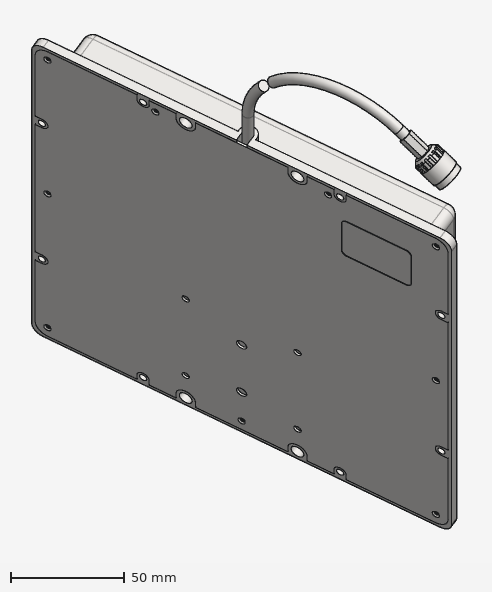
import cadquery as cq
import math


FLANGE_SIDE = 216.0
FLANGE_THICKNESS = 4.5
CORNER_RADIUS = 6.0
BOX_SIDE = 190.5
BOX_BACK = 28.2
BOX_ROUND = 5.0

RIM_WIDTH = 1.85
PLATE_SIDE = FLANGE_SIDE - 2 * RIM_WIDTH
PLATE_THICKNESS = 1.0
PLATE_CORNER_RADIUS = 6.5

LUG_FROM_CENTRE = 102.7
SCREW_LUG_WIDTH = 6.3
SCREW_LUG_SPREAD = 50.5
SCREW_HOLE_DIAMETER = 3.7
SCREW_HOLE_DEPTH = 2.8
MOUNT_LUG_WIDTH = 10.0
MOUNT_SPREAD = 28.7
MOUNT_HOLE_DIAMETER = 6.5

RIVET_FROM_CENTRE = 99.8
RIVET_UPPER_SPREAD = 44.5
RIVET_DIAMETER = 2.3
RIVET_SINK_DIAMETER = 3.7
RIVET_SINK_ANGLE = 90
SMALL_HOLE_DIAMETER = 3.7
SMALL_HOLE_HEIGHTS = (-28.7, -86.0)
LARGE_HOLE_DIAMETER = 5.0
LARGE_HOLE_HEIGHTS = (-43.0, -78.2)

LABEL_WIDTH = 35.8
LABEL_HEIGHT = 25.5
LABEL_THICKNESS = 0.3
LABEL_CORNER_RADIUS = 2.8
LABEL_X = 69.5
LABEL_Z = 74.0

CABLE_RADIUS = 2.7
CABLE_FRONT_DEPTH = 2.8
CABLE_Y = CABLE_FRONT_DEPTH + CABLE_RADIUS
BOSS_RADIUS = 4.5
LOWER_BEND_RADIUS = 45.8
LOWER_BEND_CENTRE = (LOWER_BEND_RADIUS, 123.5)
LOWER_END_ANGLE = 145.5
UPPER_BEND_RADIUS = 47.8
UPPER_BEND_CENTRE = (50.3, 126.0)
UPPER_START_ANGLE = 142.0
UPPER_END_ANGLE = 55.2

SLEEVE_LENGTH = 4.0
FERRULE_LENGTH = 11.5
COLLAR_LENGTH = 5.7
NUT_LENGTH = 7.7
NOSE_LENGTH = 3.0
FERRULE_SIDES = 6
FERRULE_ACROSS_CORNERS = 7.0
COLLAR_RADIUS = 7.0
COLLAR_CHAMFER = 2.0
KNURL_COUNT = 16
KNURL_WIDTH = 1.0
KNURL_DEPTH = 0.9
NUT_DIAMETER = 14.5
NOSE_RADIUS = 6.8

SIGNS = (-1, 1)
HALF_FLANGE = FLANGE_SIDE / 2
HALF_BOX = BOX_SIDE / 2
SIDE_ANGLES = (0, 90, 180, 270)


def square_slab(side, y_start, thickness, corner_radius):
    """Square slab with rounded corners from y_start towards +Y."""
    slab = cq.Workplane("XZ", origin=(0, y_start, 0)).rect(side, side).extrude(-thickness)
    return slab.edges("|Y").fillet(corner_radius)


def cylinders(points, diameter, depth):
    """Cylinders from the front face towards +Y at the (x, z) points."""
    return cq.Workplane("XZ").pushPoints(points).circle(diameter / 2).extrude(-depth)


def turned_about_centre(point, angle):
    """The (x, z) point turned about the panel centre."""
    x, z = point
    c = math.cos(math.radians(angle))
    s = math.sin(math.radians(angle))
    return (x * c - z * s, x * s + z * c)


SCREW_LUGS = [
    turned_about_centre((sign * SCREW_LUG_SPREAD, LUG_FROM_CENTRE), angle)
    for angle in SIDE_ANGLES
    for sign in SIGNS
]
MOUNT_LUGS = [(sx * MOUNT_SPREAD, sz * LUG_FROM_CENTRE) for sx in SIGNS for sz in SIGNS]


def lug(width, spread, angle):
    """U-shaped lug as thick as the plate, reaching in from the flange edge."""
    half_width = width / 2
    root = HALF_FLANGE - RIM_WIDTH / 2
    outline = (
        cq.Workplane("XZ")
        .moveTo(spread - half_width, root)
        .lineTo(spread - half_width, LUG_FROM_CENTRE)
        .threePointArc((spread, LUG_FROM_CENTRE - half_width), (spread + half_width, LUG_FROM_CENTRE))
        .lineTo(spread + half_width, root)
        .close()
    )
    return outline.extrude(-PLATE_THICKNESS).rotate((0, 0, 0), (0, -1, 0), angle)


def make_plate_blank():
    """Plate outline with the lugs cut away, before its holes."""
    blank = square_slab(PLATE_SIDE, 0, PLATE_THICKNESS, PLATE_CORNER_RADIUS)
    for sign in SIGNS:
        for angle in SIDE_ANGLES:
            blank = blank.cut(lug(SCREW_LUG_WIDTH, sign * SCREW_LUG_SPREAD, angle))
        for angle in (0, 180):
            blank = blank.cut(lug(MOUNT_LUG_WIDTH, sign * MOUNT_SPREAD, angle))
    return blank


def make_plate():
    """Plate with countersunk rivet holes and plain holes."""
    r = RIVET_FROM_CENTRE
    rivets = [(sx * r, z) for sx in SIGNS for z in (-r, 0, r)]
    rivets += [(sx * RIVET_UPPER_SPREAD, r) for sx in SIGNS]
    rivets.append((0, -r))
    small_holes = [(sx * MOUNT_SPREAD, z) for sx in SIGNS for z in SMALL_HOLE_HEIGHTS]
    large_holes = [(0, z) for z in LARGE_HOLE_HEIGHTS]

    plate = make_plate_blank()
    plate = plate.cut(cylinders(small_holes, SMALL_HOLE_DIAMETER, PLATE_THICKNESS))
    plate = plate.cut(cylinders(large_holes, LARGE_HOLE_DIAMETER, PLATE_THICKNESS))
    return (
        plate.copyWorkplane(cq.Workplane("XZ"))
        .pushPoints(rivets)
        .cskHole(RIVET_DIAMETER, RIVET_SINK_DIAMETER, RIVET_SINK_ANGLE, PLATE_THICKNESS)
    )


def make_housing():
    """Flange, box and cable boss, with the plate recess, lug holes and cable channel."""
    box = square_slab(BOX_SIDE, 0, BOX_BACK, BOX_ROUND).faces(">Y").edges().fillet(BOX_ROUND)
    flange = square_slab(FLANGE_SIDE, 0, FLANGE_THICKNESS, CORNER_RADIUS)
    boss_length = HALF_FLANGE - HALF_BOX
    boss = cq.Workplane("XY", origin=(0, CABLE_Y, HALF_BOX)).circle(BOSS_RADIUS).extrude(boss_length)
    boss_foot = cq.Workplane("XY", origin=(0, CABLE_Y / 2, HALF_BOX)).rect(2 * BOSS_RADIUS, CABLE_Y)
    housing = flange.union(box).union(boss.union(boss_foot.extrude(boss_length)))

    housing = housing.cut(make_plate_blank())
    housing = housing.cut(cylinders(SCREW_LUGS, SCREW_HOLE_DIAMETER, SCREW_HOLE_DEPTH))
    housing = housing.cut(cylinders(MOUNT_LUGS, MOUNT_HOLE_DIAMETER, FLANGE_THICKNESS))

    bore = cq.Workplane("XY", origin=(0, CABLE_Y, HALF_BOX)).circle(CABLE_RADIUS).extrude(boss_length)
    slot = cq.Workplane("XY", origin=(0, CABLE_Y / 2, HALF_BOX)).rect(2 * CABLE_RADIUS, CABLE_Y)
    return housing.cut(bore).cut(slot.extrude(boss_length))


def make_label():
    """Thin rounded label on the plate's front face."""
    label = cq.Workplane("XZ").center(LABEL_X, LABEL_Z).rect(LABEL_WIDTH, LABEL_HEIGHT)
    return label.extrude(LABEL_THICKNESS).edges("|Y").fillet(LABEL_CORNER_RADIUS)


def bend_point(centre, radius, angle):
    """The (x, z) point of a cable bend at an angle from +X."""
    a = math.radians(angle)
    return (centre[0] + radius * math.cos(a), centre[1] + radius * math.sin(a))


def upper_bend_plane(angle):
    """Plane across the upper bend at an angle, facing along the cable towards the connector.

    Its X direction points out of the bend.
    """
    x, z = bend_point(UPPER_BEND_CENTRE, UPPER_BEND_RADIUS, angle)
    a = math.radians(angle)
    return cq.Plane(
        origin=(x, CABLE_Y, z),
        xDir=(math.cos(a), 0, math.sin(a)),
        normal=(math.sin(a), 0, -math.cos(a)),
    )


def make_lower_cable():
    """Straight stretch from the box and the start of the bend."""
    middle = bend_point(LOWER_BEND_CENTRE, LOWER_BEND_RADIUS, (180 + LOWER_END_ANGLE) / 2)
    end = bend_point(LOWER_BEND_CENTRE, LOWER_BEND_RADIUS, LOWER_END_ANGLE)
    path = (
        cq.Workplane("XZ", origin=(0, CABLE_Y, 0))
        .moveTo(0, HALF_BOX)
        .lineTo(0, LOWER_BEND_CENTRE[1])
        .threePointArc(middle, end)
    )
    return cq.Workplane("XY", origin=(0, CABLE_Y, HALF_BOX)).circle(CABLE_RADIUS).sweep(path)


def make_upper_cable():
    """Bend from the break to the connector."""
    angles = (UPPER_START_ANGLE, (UPPER_START_ANGLE + UPPER_END_ANGLE) / 2, UPPER_END_ANGLE)
    start, middle, end = [bend_point(UPPER_BEND_CENTRE, UPPER_BEND_RADIUS, a) for a in angles]
    path = cq.Workplane("XZ", origin=(0, CABLE_Y, 0)).moveTo(*start).threePointArc(middle, end)
    return cq.Workplane(upper_bend_plane(UPPER_START_ANGLE)).circle(CABLE_RADIUS).sweep(path)


def make_connector():
    """Coaxial connector: sleeve, hexagonal ferrule, knurled collar, nut and nose in a row."""
    ferrule_start = SLEEVE_LENGTH
    collar_start = ferrule_start + FERRULE_LENGTH
    nut_start = collar_start + COLLAR_LENGTH
    nose_start = nut_start + NUT_LENGTH

    def section(distance):
        """Workplane across the connector axis at a distance from the cable end."""
        return cq.Workplane(upper_bend_plane(UPPER_END_ANGLE)).workplane(offset=distance)

    sleeve = section(0).circle(CABLE_RADIUS).extrude(SLEEVE_LENGTH)
    ferrule = section(ferrule_start).polygon(FERRULE_SIDES, FERRULE_ACROSS_CORNERS)
    ferrule = ferrule.extrude(FERRULE_LENGTH)
    nut = section(nut_start).circle(NUT_DIAMETER / 2).extrude(NUT_LENGTH)
    nose = section(nose_start).circle(NOSE_RADIUS).extrude(NOSE_LENGTH)

    collar = section(collar_start).circle(COLLAR_RADIUS).extrude(COLLAR_LENGTH)
    collar = collar.faces(cq.selectors.NearestToPointSelector(section(collar_start).val().toTuple()))
    collar = collar.chamfer(COLLAR_CHAMFER)
    grooves = (
        section(collar_start)
        .polarArray(COLLAR_RADIUS, 0, 360, KNURL_COUNT)
        .rect(2 * KNURL_DEPTH, KNURL_WIDTH)
        .extrude(COLLAR_LENGTH)
    )
    collar = collar.cut(grooves)
    return sleeve.union(ferrule).union(collar).union(nut).union(nose)


housing = make_housing()
plate = make_plate()
label = make_label()
lower_cable = make_lower_cable()
upper_cable = make_upper_cable()
connector = make_connector()

result = cq.Compound.makeCompound(
    [
        housing.val(),
        plate.val(),
        label.val(),
        lower_cable.val(),
        upper_cable.val(),
        connector.val(),
    ]
)